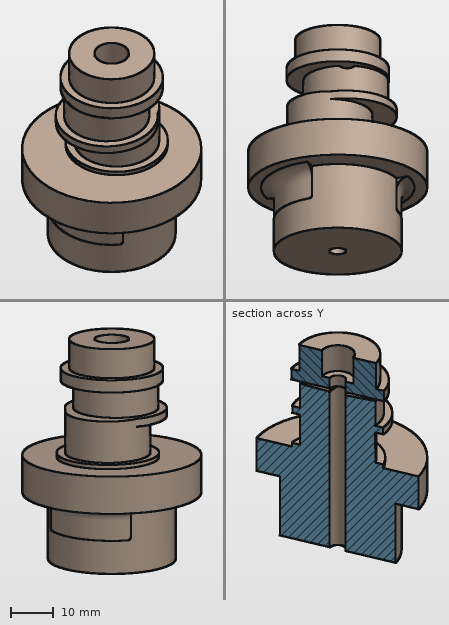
import cadquery as cq
import math

total_height = 53.0
flange_bottom = 16.0
flange_top = 25.0
base_rim_top = 26.0
middle_rim_bottom = 34.0
lower_journal_top = 36.0
upper_journal_top = 43.05
cap_collar_top = 46.0

spigot_diameter = 30.0
flange_diameter = 42.0
rim_diameter = 24.0
middle_rim_diameter = 23.9
journal_diameter = 20.0
shaft_bore_diameter = 4.0
cap_bore_diameter = 8.0

eccentricity = 2.0

channel_diameter = 5.3
channel_depth = 0.7
channel_offset = 0.1
channel_angle = -7.5

jaw_bottom = 8.0
jaw_face_radius = 14.95
jaw_thickness = 3.0
jaw_inner_radius = jaw_face_radius - jaw_thickness
jaw_flare_radius = 3.0
jaw_corner_radius = 0.8
jaw_span = 90.0
jaw_directions = (90.0, 270.0)


def disc(diameter, bottom, top, y=0.0):
    """Upright cylinder between two heights."""
    return cq.Workplane("XY", origin=(0, y, bottom)).circle(diameter / 2).extrude(top - bottom)


def make_jaw_block(direction, face_radius):
    """Quarter ring with rounded lower corners, centred on a direction."""
    reach = flange_diameter
    half_width = reach * math.tan(math.radians(jaw_span / 2))
    sector = (
        cq.Workplane("XY", origin=(0, 0, jaw_bottom))
        .polyline([(0, 0), (reach, -half_width), (reach, half_width)])
        .close()
        .extrude(flange_bottom - jaw_bottom)
    )
    for side in (-1, 1):
        end_edge_point = (reach / 2, side * half_width / 2, jaw_bottom)
        sector = sector.edges(cq.selectors.NearestToPointSelector(end_edge_point)).fillet(jaw_corner_radius)
    ring = disc(2 * face_radius, jaw_bottom, flange_bottom).cut(
        disc(2 * jaw_inner_radius, jaw_bottom, flange_bottom)
    )
    return ring.intersect(sector).rotate((0, 0, 0), (0, 0, 1), direction)


def make_jaw(direction):
    """Curved pad with a concave flare running out under the flange."""
    flare_start = flange_bottom - jaw_flare_radius
    lip_radius = jaw_face_radius + jaw_flare_radius
    arc_reach = jaw_flare_radius * math.sqrt(0.5)
    envelope = (
        cq.Workplane("XZ")
        .moveTo(0, jaw_bottom)
        .lineTo(jaw_face_radius, jaw_bottom)
        .lineTo(jaw_face_radius, flare_start)
        .threePointArc((lip_radius - arc_reach, flare_start + arc_reach), (lip_radius, flange_bottom))
        .lineTo(0, flange_bottom)
        .close()
        .revolve(360, (0, 0, 0), (0, 1, 0))
    )
    return make_jaw_block(direction, lip_radius).intersect(envelope)


def make_channel():
    """Shallow round-bottomed channel across the upper journal."""
    axis_height = upper_journal_top - channel_depth + channel_diameter / 2
    return (
        cq.Workplane("YZ")
        .circle(channel_diameter / 2)
        .extrude(flange_diameter / 2, both=True)
        .rotate((0, 0, 0), (0, 0, 1), channel_angle)
        .translate((0, channel_offset, axis_height))
    )


def make_shaft():
    """Spigot, flange and the two eccentric journals with their rims."""
    shaft = (
        disc(spigot_diameter, 0, flange_bottom)
        .union(disc(flange_diameter, flange_bottom, flange_top))
        .union(disc(rim_diameter, flange_top, base_rim_top, eccentricity))
        .union(disc(journal_diameter, base_rim_top, lower_journal_top, eccentricity))
        .union(disc(middle_rim_diameter, middle_rim_bottom, lower_journal_top, -eccentricity))
        .union(disc(journal_diameter, lower_journal_top, upper_journal_top, -eccentricity))
        .cut(disc(shaft_bore_diameter, 0, upper_journal_top))
        .cut(make_channel())
    )
    for direction in jaw_directions:
        shaft = shaft.cut(make_jaw_block(direction, spigot_diameter))
    return shaft


def make_cap():
    """Concentric collar and top journal, with a wide bore down to the collar and a narrow one through it."""
    return (
        disc(rim_diameter, upper_journal_top, cap_collar_top)
        .union(disc(journal_diameter, cap_collar_top, total_height))
        .cut(disc(shaft_bore_diameter, upper_journal_top, cap_collar_top))
        .cut(disc(cap_bore_diameter, cap_collar_top, total_height))
    )


shaft = make_shaft()
cap = make_cap()
jaws = [make_jaw(direction) for direction in jaw_directions]

result = cq.Compound.makeCompound([shaft.val(), cap.val(), *[jaw.val() for jaw in jaws]])